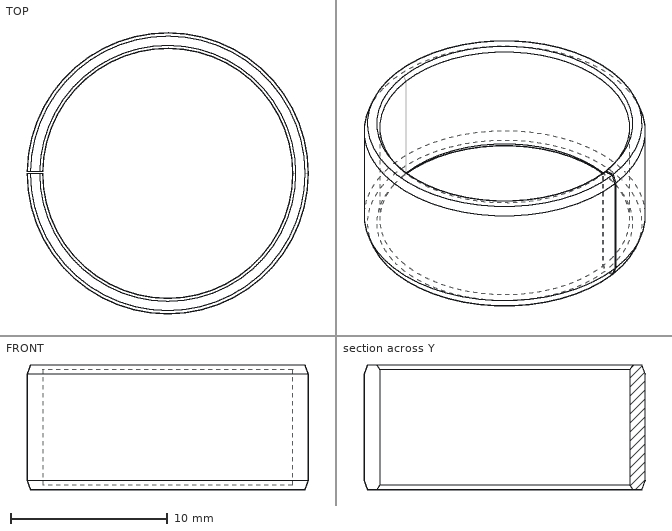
import cadquery as cq

outer_diameter = 18.0
wall = 1.0
height = 8.0
outer_chamfer_height = 0.6
outer_chamfer_depth = 0.22
inner_chamfer_height = 0.3
inner_chamfer_depth = 0.2
slit_width = 0.1

outer_radius = outer_diameter / 2
inner_radius = outer_radius - wall
half_height = height / 2


def ring():
    """Revolve the wall section, with chamfers on all four rims."""
    upper_half = [
        (inner_radius, half_height - inner_chamfer_height),
        (inner_radius + inner_chamfer_depth, half_height),
        (outer_radius - outer_chamfer_depth, half_height),
        (outer_radius, half_height - outer_chamfer_height),
    ]
    lower_half = [(radius, -z) for radius, z in reversed(upper_half)]
    section = cq.Workplane("XZ").polyline(upper_half + lower_half).close()
    return section.revolve(360, (0, 0, 0), (0, 1, 0))


def slit():
    """Narrow full-height cutter through the wall on the -X side, with one face on the XZ plane."""
    return cq.Workplane("XY").box(
        outer_radius, slit_width, height, centered=(False, False, True)
    ).translate((-outer_radius, 0, 0))


result = ring().cut(slit())